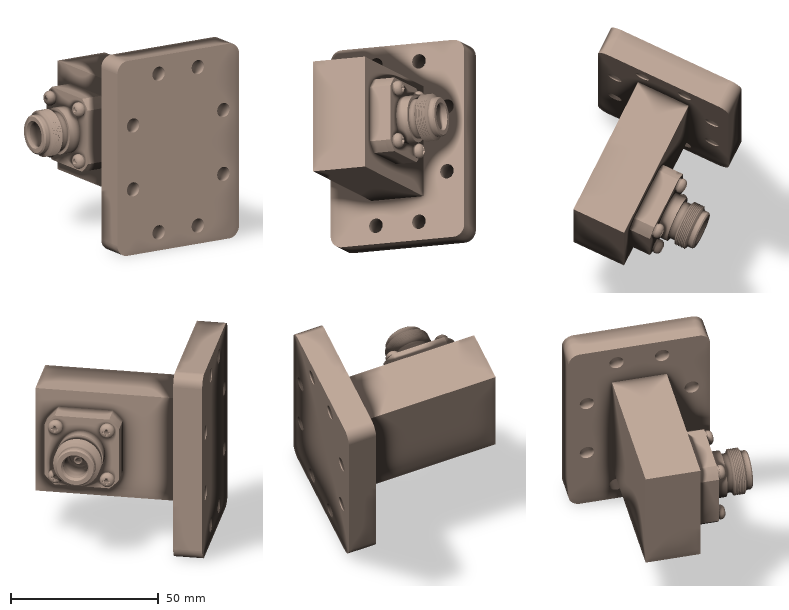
import cadquery as cq
import math


flange_height = 68.3
flange_width = 49.2
flange_thickness = 10.0
flange_corner_radius = 4.0
flange_hole_diameter = 5.0
end_hole_y = 7.9
end_hole_z = 27.8
side_hole_y = 18.25
side_hole_z = 11.2

guide_length = 50.0
guide_width = 19.05
guide_height = 38.1
guide_front_y = -guide_width / 2

connector_x = 17.3
pad_side = 25.55
pad_round_diameter = 31.7
pad_thickness = 5.4
plate_thickness = 2.1
pad_front_y = guide_front_y - pad_thickness
plate_front_y = pad_front_y - plate_thickness

thread_diameter = 16.0
collar_diameter = thread_diameter
barrel_diameter = 13.45
collar_length = 4.1
neck_length = 2.2
thread_lead_in = 0.75
thread_pitch = 0.575
thread_groove_count = 6
thread_groove_depth = 0.4
nose_length = 2.1
nose_chamfer = 0.5

mouth_diameter = 9.5
mouth_taper_depth = 1.1
socket_diameter = 8.5
socket_depth = 9.0
insulator_diameter = 7.0
insulator_recess = 1.0
contact_diameter = 3.1
contact_length = 4.1
contact_chamfer = 0.35
contact_countersink = 0.2
contact_bore_diameter = 1.7
contact_bore_depth = 2.7
drill_point_angle = 118.0

screw_x = 8.9
screw_z = 9.1
screw_neck_diameter = 4.45
screw_neck_length = 0.75
screw_head_diameter = 5.05
screw_rim_height = 0.5
screw_dome_height = 1.65
cross_length = 2.5
cross_width = 0.75
cross_depth = 0.8
cross_core_diameter = 1.7
cross_core_depth = 1.15


def facing_front(x, y, z):
    """Workplane at the given point whose normal points outwards along -Y."""
    return cq.Workplane("XZ", origin=(x, y, z))


def pad_outline(back_y, thickness):
    """Square block with its corners rounded off by a large disc, growing towards -Y."""
    base = facing_front(connector_x, back_y, 0)
    square = base.rect(pad_side, pad_side).extrude(thickness)
    disc = base.circle(pad_round_diameter / 2).extrude(thickness)
    return square.intersect(disc)


def drill_point_length(radius):
    """Length of the conical point at the bottom of a drilled hole."""
    return radius / math.tan(math.radians(drill_point_angle / 2))


def turned(points):
    """Solid of revolution about the connector axis, from (radius, y) points."""
    profile = cq.Workplane("XY", origin=(connector_x, 0, 0)).polyline(points).close()
    return profile.revolve(360, (0, 0), (0, 1))


def make_adapter():
    """Waveguide block with its mounting flange and connector pad."""
    flange = (
        cq.Workplane("YZ", origin=(guide_length, 0, 0))
        .rect(flange_width, flange_height)
        .extrude(flange_thickness)
        .edges("|X")
        .fillet(flange_corner_radius)
    )
    hole_points = [
        (side_y * y, side_z * z)
        for y, z in [(end_hole_y, end_hole_z), (side_hole_y, side_hole_z)]
        for side_y in (-1, 1)
        for side_z in (-1, 1)
    ]
    holes = (
        cq.Workplane("YZ", origin=(guide_length, 0, 0))
        .pushPoints(hole_points)
        .circle(flange_hole_diameter / 2)
        .extrude(flange_thickness)
    )
    guide = cq.Workplane("YZ").rect(guide_width, guide_height).extrude(guide_length)
    pad = pad_outline(guide_front_y, pad_thickness)
    return flange.cut(holes).union(guide).union(pad)


thread_radius = thread_diameter / 2
barrel_radius = barrel_diameter / 2
collar_end_y = plate_front_y - collar_length
neck_end_y = collar_end_y - neck_length
first_crest_y = neck_end_y - thread_lead_in
last_crest_y = first_crest_y - thread_groove_count * thread_pitch
thread_end_y = last_crest_y - thread_lead_in
tip_y = thread_end_y - nose_length


def make_barrel():
    """Solid barrel: collar, neck, thread as V-shaped ring grooves, and chamfered nose."""
    points = [
        (0, plate_front_y),
        (collar_diameter / 2, plate_front_y),
        (collar_diameter / 2, collar_end_y),
        (barrel_radius, collar_end_y),
        (barrel_radius, neck_end_y),
        (thread_radius, first_crest_y),
    ]
    for groove in range(thread_groove_count):
        crest_y = first_crest_y - groove * thread_pitch
        points.append((thread_radius - thread_groove_depth, crest_y - thread_pitch / 2))
        points.append((thread_radius, crest_y - thread_pitch))
    points += [
        (barrel_radius, thread_end_y),
        (barrel_radius, tip_y + nose_chamfer),
        (barrel_radius - nose_chamfer, tip_y),
        (0, tip_y),
    ]
    return turned(points)


def make_socket_cut():
    """Tapered mouth, socket and insulator recess, leaving the bored centre contact standing."""
    shoulder_y = tip_y + socket_depth
    floor_y = shoulder_y + insulator_recess
    contact_radius = contact_diameter / 2
    contact_tip_y = floor_y - contact_length
    bore_radius = contact_bore_diameter / 2
    bore_end_y = contact_tip_y + contact_bore_depth
    return turned([
        (0, tip_y),
        (mouth_diameter / 2, tip_y),
        (socket_diameter / 2, tip_y + mouth_taper_depth),
        (socket_diameter / 2, shoulder_y),
        (insulator_diameter / 2, shoulder_y),
        (insulator_diameter / 2, floor_y),
        (contact_radius, floor_y),
        (contact_radius, contact_tip_y + contact_chamfer),
        (contact_radius - contact_chamfer, contact_tip_y),
        (bore_radius + contact_countersink, contact_tip_y),
        (bore_radius, contact_tip_y + contact_countersink),
        (bore_radius, bore_end_y),
        (0, bore_end_y + drill_point_length(bore_radius)),
    ])


def make_screw(x, z):
    """Domed screw head on a short neck, with a cross recess."""
    base = facing_front(x, plate_front_y, z)
    neck = base.circle(screw_neck_diameter / 2).extrude(screw_neck_length)
    head = (
        base.workplane(offset=screw_neck_length)
        .circle(screw_head_diameter / 2)
        .extrude(screw_rim_height + screw_dome_height)
        .faces("<Y")
        .edges()
        .fillet(screw_dome_height)
    )
    top = base.workplane(offset=screw_neck_length + screw_rim_height + screw_dome_height)
    core_radius = cross_core_diameter / 2
    core = top.circle(core_radius).extrude(-cross_core_depth)
    core_point = cq.Workplane(cq.Solid.makeCone(
        core_radius,
        0,
        drill_point_length(core_radius),
        pnt=cq.Vector(x, top.plane.origin.y + cross_core_depth, z),
        dir=cq.Vector(0, 1, 0),
    ))
    recess = (
        top.rect(cross_length, cross_width).extrude(-cross_depth)
        .union(top.rect(cross_width, cross_length).extrude(-cross_depth))
        .union(core)
        .union(core_point)
    )
    return neck.union(head).cut(recess)


def make_connector():
    """Connector plate with its barrel, socket and four screws."""
    connector = pad_outline(pad_front_y, plate_thickness).union(make_barrel()).cut(make_socket_cut())
    for side_x in (-1, 1):
        for side_z in (-1, 1):
            connector = connector.union(make_screw(connector_x + side_x * screw_x, side_z * screw_z))
    return connector


adapter = make_adapter()
connector = make_connector()
result = cq.Compound.makeCompound([adapter.val(), connector.val()])